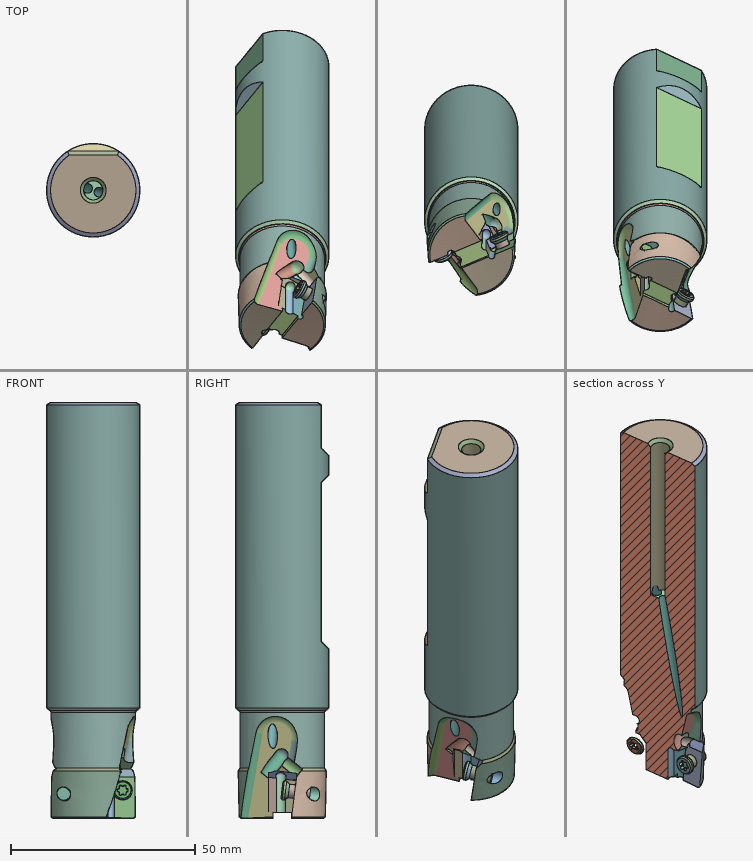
import cadquery as cq
import math

TOTAL_LENGTH = 113.03
SHANK_RADIUS = 25.4 / 2
SHANK_START_Z = 30.0
TOP_CHAMFER_WIDTH = 1.1
TOP_CHAMFER_HEIGHT = 0.7
NECK_RADIUS = 11.5
SHOULDER_CHAMFER = 0.8
NECK_FLARE_RADIUS = 11.75
NECK_FLARE_Z = 29.3
NECK_TOP_Z = 28.8
HEAD_RADIUS = 12.0
HEAD_TOP_Z = 12.9
HEAD_BEVEL_TOP_Z = 13.7
HEAD_TIP_RADIUS = 11.75
HEAD_TIP_Z = 0.4
HEAD_TIP_CHAMFER = 0.5
END_DISH_DEPTH = 0.5

FLAT_Y = 10.65
FLAT_BEVEL = SHANK_RADIUS - FLAT_Y
UPPER_FLAT_BOTTOM_Z = 98.5
LOWER_FLAT_TOP_Z = 93.3
LOWER_FLAT_BOTTOM_Z = 46.0

BORE_DIAMETER = 5.2
BORE_MOUTH_DIAMETER = 7.0
BORE_BOTTOM_Z = 62.0
BRANCH_DIAMETER = 2.6
BRANCH_EXIT = cq.Vector(-8.4, 2.5, 24.0)
BRANCH_JUNCTION = cq.Vector(-1.2, 0.4, 64.0)

GULLET_RADIUS = 6.1
GULLET_ORIGIN = (-8.9, 1.35, 22.1)
GULLET_UP = cq.Vector(-0.25, -0.17, 1.0)
GULLET_ACROSS = cq.Vector(0.2, 1.0, 0.0)
GULLET_LENGTH = 30.0
GULLET_HEIGHT = 12.0
GULLET_FLOOR_FILLET = 2.0

POCKET_TILT = 7.0
POCKET_WALL_X = -4.05
POCKET_FLOOR_EDGE_X = -5.8
POCKET_FRONT_Y = 3.8
POCKET_TOP = 12.3
POCKET_CORNER = 2.0
FLOOR_Y = -2.5
FLOOR_GROOVE_RADIUS = (POCKET_WALL_X - POCKET_FLOOR_EDGE_X) / 2
FLOOR_GROOVE_TOP = 10.5
WALL_GROOVE_RADIUS = 1.35
WALL_GROOVE_Y = 0.35
WALL_GROOVE_TOP_Z = 13.0
WALL_GROOVE_DEPTH = 0.8
END_SLOT_WIDTH = -2 * FLOOR_Y
END_SLOT_DEPTH = 1.55

UPPER_CHANNEL_RADIUS = 1.8
UPPER_CHANNEL_START = (-7.5, 0.2, 17.1)
UPPER_CHANNEL_END = (-7.0, 4.7, 11.5)
LOWER_CHANNEL_RADIUS = 1.5
LOWER_CHANNEL_START = (-8.2, 0.0, 15.8)
LOWER_CHANNEL_END = (-8.2, -4.6, 12.2)

SCREW_X = -8.0
SCREW_HEIGHT_ON_FLOOR = 7.3
SCREW_THREAD_DIAMETER = 3.7
SCREW_THREAD_LENGTH = 4.2
SCREW_HEAD_DIAMETER = 5.2
SCREW_HEAD_TOP = 3.5
SCREW_HEAD_BOTTOM = 1.6
SCREW_CONE_HEIGHT = 0.9
SCREW_RIM_CHAMFER = 0.35
SOCKET_DIAMETER = 2.2
SOCKET_LOBE_DIAMETER = 0.8
SOCKET_LOBES = 6
SOCKET_DEPTH = 1.3

CLEAR = 20.0
PLACES = (0, 180)


def about_z(shape, angle):
    return shape.rotate((0, 0, 0), (0, 0, 1), angle)


def floor_plane(x=0.0, up=0.0):
    """Plane on the pocket floor: local x = -X, local y up the floor, normal out of the floor."""
    tilt = math.radians(POCKET_TILT)
    up_dir = cq.Vector(0, -math.sin(tilt), math.cos(tilt))
    normal = cq.Vector(0, math.cos(tilt), math.sin(tilt))
    origin = cq.Vector(x, FLOOR_Y, 0) + up_dir * up
    return cq.Plane(origin=origin, xDir=cq.Vector(-1, 0, 0), normal=normal)


def turned_body():
    profile = [
        (0, END_DISH_DEPTH),
        (HEAD_TIP_RADIUS - HEAD_TIP_CHAMFER, 0),
        (HEAD_TIP_RADIUS, HEAD_TIP_Z),
        (HEAD_RADIUS, HEAD_TOP_Z),
        (NECK_RADIUS, HEAD_BEVEL_TOP_Z),
        (NECK_RADIUS, NECK_TOP_Z),
        (NECK_FLARE_RADIUS, NECK_FLARE_Z),
        (SHANK_RADIUS - SHOULDER_CHAMFER, NECK_FLARE_Z),
        (SHANK_RADIUS, SHANK_START_Z),
        (SHANK_RADIUS, TOTAL_LENGTH - TOP_CHAMFER_HEIGHT),
        (SHANK_RADIUS - TOP_CHAMFER_WIDTH, TOTAL_LENGTH),
        (0, TOTAL_LENGTH),
    ]
    return cq.Workplane("XZ").polyline(profile).close().revolve(360, (0, 0), (0, 1))


def clamping_flats():
    upper = [
        (SHANK_RADIUS, UPPER_FLAT_BOTTOM_Z),
        (FLAT_Y, UPPER_FLAT_BOTTOM_Z + FLAT_BEVEL),
        (FLAT_Y, TOTAL_LENGTH - TOP_CHAMFER_HEIGHT),
        (FLAT_Y - TOP_CHAMFER_WIDTH, TOTAL_LENGTH),
        (SHANK_RADIUS, TOTAL_LENGTH),
    ]
    lower = [
        (SHANK_RADIUS, LOWER_FLAT_TOP_Z),
        (FLAT_Y, LOWER_FLAT_TOP_Z - FLAT_BEVEL),
        (FLAT_Y, LOWER_FLAT_BOTTOM_Z + FLAT_BEVEL),
        (SHANK_RADIUS, LOWER_FLAT_BOTTOM_Z),
    ]
    side = cq.Workplane("YZ")
    cuts = side.polyline(upper).close().extrude(CLEAR, both=True)
    return cuts.union(side.polyline(lower).close().extrude(CLEAR, both=True))


def coolant_bore():
    mouth_step = (BORE_MOUTH_DIAMETER - BORE_DIAMETER) / 2
    profile = [
        (0, BORE_BOTTOM_Z),
        (BORE_DIAMETER / 2, BORE_BOTTOM_Z),
        (BORE_DIAMETER / 2, TOTAL_LENGTH - mouth_step),
        (BORE_MOUTH_DIAMETER / 2, TOTAL_LENGTH),
        (0, TOTAL_LENGTH),
    ]
    return cq.Workplane("XZ").polyline(profile).close().revolve(360, (0, 0), (0, 1))


def coolant_branch():
    """Inclined hole from the gullet up into the central bore."""
    run = BRANCH_JUNCTION - BRANCH_EXIT
    start = BRANCH_EXIT - run.normalized() * CLEAR / 2
    length = run.Length + CLEAR / 2
    plane = cq.Plane(origin=start, normal=run)
    return cq.Workplane(plane).circle(BRANCH_DIAMETER / 2).extrude(length)


def gullet():
    """Round-topped trough, its floor sloping towards the axis down to the cutting end."""
    outward = GULLET_UP.cross(GULLET_ACROSS)
    plane = cq.Plane(origin=GULLET_ORIGIN, xDir=GULLET_UP, normal=outward)
    outline = (
        cq.Workplane(plane)
        .moveTo(-GULLET_LENGTH, -GULLET_RADIUS)
        .lineTo(0, -GULLET_RADIUS)
        .threePointArc((GULLET_RADIUS, 0), (0, GULLET_RADIUS))
        .lineTo(-GULLET_LENGTH, GULLET_RADIUS)
        .close()
    )
    trough = outline.extrude(GULLET_HEIGHT)
    floor_face = trough.faces(cq.selectors.DirectionMinMaxSelector(outward, False))
    return floor_face.edges().fillet(GULLET_FLOOR_FILLET)


def insert_pocket():
    """Open-sided seat: a tilted floor and an upright inner wall with a bevelled upper corner."""
    wall = -POCKET_WALL_X
    outline = [
        (wall, -CLEAR),
        (wall, POCKET_TOP - POCKET_CORNER),
        (wall + POCKET_CORNER, POCKET_TOP),
        (wall + CLEAR, POCKET_TOP),
        (wall + CLEAR, -CLEAR),
    ]
    seat = cq.Workplane(floor_plane()).polyline(outline).close().extrude(CLEAR)
    side = 4 * CLEAR
    behind_front = cq.Workplane("XY").box(side, side, side).translate((0, POCKET_FRONT_Y - side / 2, 0))
    return seat.intersect(behind_front)


def floor_groove():
    """Round relief along the inner edge of the pocket floor."""
    plane = floor_plane(POCKET_WALL_X - FLOOR_GROOVE_RADIUS, FLOOR_GROOVE_TOP)
    axis_plane = cq.Plane(origin=plane.origin, xDir=plane.xDir, normal=plane.yDir * -1)
    return cq.Workplane(axis_plane).circle(FLOOR_GROOVE_RADIUS).extrude(CLEAR)


def wall_groove():
    """Round-topped upright relief in the inner wall of the pocket."""
    axis_x = POCKET_WALL_X - WALL_GROOVE_RADIUS + WALL_GROOVE_DEPTH
    groove = cq.Workplane("XY").center(axis_x, WALL_GROOVE_Y).circle(WALL_GROOVE_RADIUS)
    tip_z = WALL_GROOVE_TOP_Z - WALL_GROOVE_RADIUS
    tip = cq.Workplane("XY").sphere(WALL_GROOVE_RADIUS).translate((axis_x, WALL_GROOVE_Y, tip_z))
    return groove.extrude(tip_z).union(tip)


def relief_channel(start, end, radius):
    """Round-bottomed channel from start to end, open towards -X, with a round upper end."""
    start = cq.Vector(*start)
    run = cq.Vector(*end) - start
    plane = cq.Plane(origin=start, xDir=cq.Vector(0, 1, 0), normal=run)
    bottom = cq.Workplane(plane).circle(radius).extrude(run.Length)
    bottom = bottom.union(cq.Workplane("XY").sphere(radius).translate(start))
    open_plane = cq.Plane(origin=start, xDir=run, normal=cq.Vector(-1, 0, 0))
    mouth = cq.Workplane(open_plane).center(run.Length / 2, 0).rect(run.Length, 2 * radius).extrude(CLEAR)
    mouth = mouth.union(cq.Workplane(open_plane).circle(radius).extrude(CLEAR))
    return bottom.union(mouth)


def end_slot():
    """Shallow slot across the cutting end, along X."""
    slot = cq.Workplane("XY").rect(4 * CLEAR, END_SLOT_WIDTH)
    return slot.extrude(END_SLOT_DEPTH)


def screw():
    """Screw standing in the pocket floor, with a conical head and a six-lobed socket."""
    plane = floor_plane(SCREW_X, SCREW_HEIGHT_ON_FLOOR)
    thread_radius = SCREW_THREAD_DIAMETER / 2
    head_radius = SCREW_HEAD_DIAMETER / 2
    profile = [
        (0, -SCREW_THREAD_LENGTH),
        (thread_radius, -SCREW_THREAD_LENGTH),
        (thread_radius, SCREW_HEAD_BOTTOM),
        (head_radius, SCREW_HEAD_BOTTOM + SCREW_CONE_HEIGHT),
        (head_radius, SCREW_HEAD_TOP - SCREW_RIM_CHAMFER),
        (head_radius - SCREW_RIM_CHAMFER, SCREW_HEAD_TOP),
        (0, SCREW_HEAD_TOP),
    ]
    section_plane = cq.Plane(origin=plane.origin, xDir=plane.xDir, normal=plane.yDir * -1)
    shape = cq.Workplane(section_plane).polyline(profile).close().revolve(360, (0, 0), (0, 1))
    socket_base = cq.Workplane(plane).workplane(offset=SCREW_HEAD_TOP - SOCKET_DEPTH)
    socket = socket_base.circle(SOCKET_DIAMETER / 2).extrude(SOCKET_DEPTH)
    lobes = socket_base.polarArray(SOCKET_DIAMETER / 2, 0, 360, SOCKET_LOBES)
    socket = socket.union(lobes.circle(SOCKET_LOBE_DIAMETER / 2).extrude(SOCKET_DEPTH))
    return shape.cut(socket)


def screw_hole():
    plane = floor_plane(SCREW_X, SCREW_HEIGHT_ON_FLOOR)
    return cq.Workplane(plane).circle(SCREW_THREAD_DIAMETER / 2).extrude(-CLEAR / 2)


def cutting_edge_cuts():
    """Everything cut away around the cutting edge on the -X side."""
    return [
        gullet(),
        insert_pocket(),
        floor_groove(),
        wall_groove(),
        relief_channel(UPPER_CHANNEL_START, UPPER_CHANNEL_END, UPPER_CHANNEL_RADIUS),
        relief_channel(LOWER_CHANNEL_START, LOWER_CHANNEL_END, LOWER_CHANNEL_RADIUS),
        coolant_branch(),
        screw_hole(),
    ]


def cutter_body():
    body = turned_body().cut(clamping_flats()).cut(coolant_bore()).cut(end_slot())
    for cutter in cutting_edge_cuts():
        for place in PLACES:
            body = body.cut(about_z(cutter, place))
    return body


body = cutter_body()
screws = [about_z(screw(), place) for place in PLACES]

result = cq.Compound.makeCompound([body.val(), *[item.val() for item in screws]])